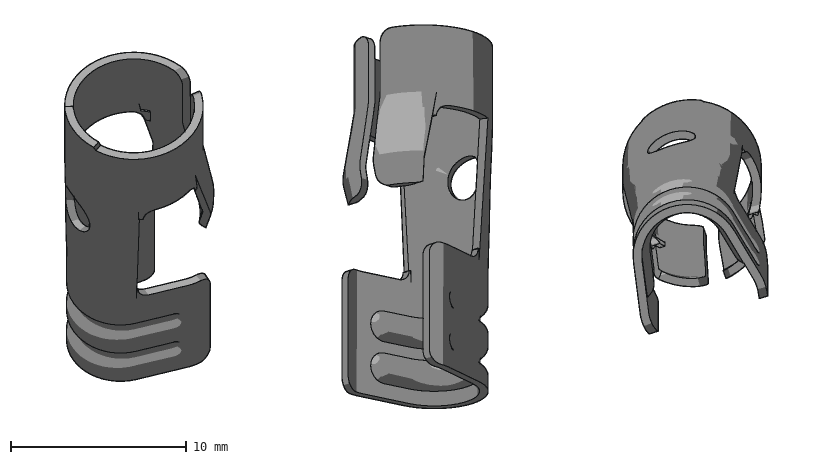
import cadquery as cq
import math

TAB_TOP = 20.75
RING_TOP = 20.56
RING_BOTTOM = 15.8
CRADLE_TOP = 7.37

RING_RADIUS = 3.96
SHEET = 0.5
FRONT_Y = -RING_RADIUS
FAR = 12.45
OVERLAP = 0.12

TAB_BASE_ANGLE = 28.0
TAB_TOP_ANGLE = 25.8

SLIT_HALF_WIDTH = 0.45
SLIT_HALF_WIDTH_LOW = 0.55
CORNER_RADIUS = 0.79

FLANK_LEAN = 11.5
CRADLE_RADIUS = 3.1
CRADLE_CENTER_Y = FRONT_Y + CRADLE_RADIUS
LIP_MIDDLE_Y = 2.05
LIP_RADIUS = 2.74
CRADLE_TIP_Y = 3.03

NECK_TOP_ANGLE = 24.0
WINDOW_RADIUS = 0.66
HOLE_Z = 13.49
HOLE_FOCUS_Y = -0.3
HOLE_HALF_WIDTH = 1.58
HOLE_HALF_HEIGHT = 1.29

FINGER_BEND_Z = 16.52
FINGER_ELBOW_Z = 12.47
FINGER_ELBOW_RADIUS = 4.63
FINGER_BEND_RADIUS = 1.0
FINGER_TIP_Z = 10.95
FINGER_TIP_RADIUS = 4.27
FINGER_TOP_ANGLE = 33.7
FINGER_ELBOW_ANGLE = 44.0
FINGER_TIP_ANGLE = 45.0
FINGER_CORNER_RADIUS = 0.66

BEAD_HEIGHTS = (1.8, 4.34)
BEAD_END_Y = 0.73
RIDGE_END_Y = 0.19
BEAD_FLAT = 0.17
BEAD_INNER_RADIUS = 0.27
BEAD_LIP_RADIUS = 0.5
BEAD_SLOPE = 47.0
BEAD_RAMP = 0.197

SIN_LEAN = math.sin(math.radians(FLANK_LEAN))
COS_LEAN = math.cos(math.radians(FLANK_LEAN))
LIP_CENTER_X = (CRADLE_RADIUS - LIP_RADIUS + (LIP_MIDDLE_Y - CRADLE_CENTER_Y) * SIN_LEAN) / COS_LEAN
INWARD = (-COS_LEAN, SIN_LEAN, 0)
ALONG_FLANK = (SIN_LEAN, COS_LEAN, 0)


def polar(radius, degrees, center_y=0.0):
    """Point at an angle from +X about a centre on the Y axis."""
    a = math.radians(degrees)
    return (radius * math.cos(a), center_y + radius * math.sin(a))


def half_tube(bottom, top, radius):
    """Tube of the sheet thickness, kept on the +X side."""
    tube = cq.Workplane("XY").workplane(offset=bottom).circle(radius).circle(radius - SHEET)
    half_space = cq.Workplane("XY").box(FAR, 2 * FAR, 4 * FAR, centered=(False, True, True))
    return tube.extrude(top - bottom).intersect(half_space)


def wedge(start, levels):
    """Solid between a fixed direction and edge directions given as (z, angle) levels."""
    sections = None
    previous_z = 0.0
    for z, angle in levels:
        base = cq.Workplane("XY") if sections is None else sections
        sections = base.workplane(offset=z - previous_z)
        sections = sections.polyline([(0, 0), polar(FAR, start), polar(FAR, angle)]).close()
        previous_z = z
    return sections.loft(ruled=True)


def corner_fillet(y, z, y_way, z_way, radius, overlap_y=OVERLAP):
    """Material filling an inside corner at (y, z), bounded by a concave quarter arc."""
    mid = radius * (1 - math.sqrt(0.5))
    return (
        cq.Workplane("YZ")
        .moveTo(y - overlap_y * y_way, z - OVERLAP * z_way)
        .lineTo(y + radius * y_way, z - OVERLAP * z_way)
        .lineTo(y + radius * y_way, z)
        .threePointArc((y + mid * y_way, z + mid * z_way), (y, z + radius * z_way))
        .lineTo(y - overlap_y * y_way, z + radius * z_way)
        .close()
        .extrude(FAR)
    )


def ring_half():
    ring = half_tube(RING_BOTTOM, RING_TOP, RING_RADIUS)
    tab = half_tube(RING_TOP, TAB_TOP, RING_RADIUS).intersect(
        wedge(-90, [(RING_TOP, TAB_BASE_ANGLE - 90), (TAB_TOP, TAB_TOP_ANGLE - 90)])
    )
    return ring.union(tab)


def finger_zone():
    """Space behind the edge of the +X finger, below the ring bend."""
    return wedge(90, [
        (FINGER_BEND_Z, FINGER_TOP_ANGLE),
        (FINGER_ELBOW_Z, FINGER_ELBOW_ANGLE),
        (FINGER_TIP_Z, FINGER_TIP_ANGLE),
    ])


def round_elbow(finger, circle_radius, bend_radius):
    """Round the bend that lies on a circle of the given radius."""
    bends = finger.edges("%CIRCLE").filter(lambda edge: abs(edge.radius() - circle_radius) < 0.002)
    return bends.fillet(bend_radius)


def finger_half():
    inner_elbow = FINGER_ELBOW_RADIUS - SHEET
    finger = (
        cq.Workplane("XZ")
        .moveTo(RING_RADIUS, FINGER_BEND_Z)
        .lineTo(FINGER_ELBOW_RADIUS, FINGER_ELBOW_Z)
        .lineTo(FINGER_TIP_RADIUS, FINGER_TIP_Z)
        .lineTo(FINGER_TIP_RADIUS - SHEET, FINGER_TIP_Z)
        .lineTo(inner_elbow, FINGER_ELBOW_Z)
        .lineTo(RING_RADIUS - SHEET, FINGER_BEND_Z)
        .close()
        .revolve(360, (0, 0), (0, 1))
    )
    finger = round_elbow(finger, FINGER_ELBOW_RADIUS, FINGER_BEND_RADIUS + SHEET)
    finger = round_elbow(finger, inner_elbow, FINGER_BEND_RADIUS)
    edge_y = polar(RING_RADIUS, FINGER_TOP_ANGLE)[1]
    root = corner_fillet(edge_y, RING_BOTTOM, -1, -1, WINDOW_RADIUS, overlap_y=2 * OVERLAP)
    blade = finger.intersect(finger_zone())
    tip_y = polar(FINGER_TIP_RADIUS - SHEET, FINGER_TIP_ANGLE)[1]
    tip_round = corner_fillet(tip_y, FINGER_TIP_Z, 1, 1, FINGER_CORNER_RADIUS)
    wall = half_tube(RING_BOTTOM - WINDOW_RADIUS, RING_TOP, RING_RADIUS)
    return blade.cut(tip_round).union(wall.intersect(root))


def slit():
    """Back slit with rounded mouths at the ring top and at the finger tips."""
    mid = CORNER_RADIUS * (1 - math.sqrt(0.5))
    return (
        cq.Workplane("XZ")
        .moveTo(-OVERLAP, RING_TOP)
        .lineTo(SLIT_HALF_WIDTH + CORNER_RADIUS, RING_TOP)
        .threePointArc((SLIT_HALF_WIDTH + mid, RING_TOP - mid),
                       (SLIT_HALF_WIDTH, RING_TOP - CORNER_RADIUS))
        .lineTo(SLIT_HALF_WIDTH, RING_BOTTOM)
        .lineTo(SLIT_HALF_WIDTH_LOW, FINGER_TIP_Z + CORNER_RADIUS)
        .threePointArc((SLIT_HALF_WIDTH_LOW + mid, FINGER_TIP_Z + mid),
                       (SLIT_HALF_WIDTH_LOW + CORNER_RADIUS, FINGER_TIP_Z))
        .lineTo(-OVERLAP, FINGER_TIP_Z)
        .close()
        .extrude(-FAR)
    )


def neck_sector(plane, radius, center_y, end_angle):
    """Half section of the neck, from the front round to the end angle."""
    inner = radius - SHEET
    middle = (end_angle - 90) / 2
    return (
        plane.moveTo(*polar(radius, -90, center_y))
        .threePointArc(polar(radius, middle, center_y), polar(radius, end_angle, center_y))
        .lineTo(*polar(inner, end_angle, center_y))
        .threePointArc(polar(inner, middle, center_y), polar(inner, -90, center_y))
        .close()
    )


def neck_hole():
    """Oval hole whose width shrinks inwards, so that its sides cut the sheet squarely."""
    depth = 3 * SHEET
    focus_distance = HOLE_FOCUS_Y - FRONT_Y
    inner_half_width = HOLE_HALF_WIDTH * (focus_distance - depth) / focus_distance
    return (
        cq.Workplane("XZ", origin=(0, FRONT_Y, HOLE_Z))
        .ellipse(HOLE_HALF_WIDTH, HOLE_HALF_HEIGHT)
        .workplane(offset=-depth)
        .ellipse(inner_half_width, HOLE_HALF_HEIGHT)
        .loft(ruled=True)
    )


def neck_half():
    plane = cq.Workplane("XY").workplane(offset=CRADLE_TOP)
    low = neck_sector(plane, CRADLE_RADIUS, CRADLE_CENTER_Y, -FLANK_LEAN)
    high_plane = low.workplane(offset=RING_BOTTOM - CRADLE_TOP)
    neck = neck_sector(high_plane, RING_RADIUS, 0.0, -NECK_TOP_ANGLE).loft(ruled=True)
    return neck.cut(neck_hole())


def cradle_outline(inset):
    """Key points of the +X half outline, moved inwards by the inset."""
    round_radius = CRADLE_RADIUS - inset
    lip_radius = LIP_RADIUS - inset
    bottom = (0, CRADLE_CENTER_Y - round_radius)
    round_mid = polar(round_radius, (-90 - FLANK_LEAN) / 2, CRADLE_CENTER_Y)
    flank = polar(round_radius, -FLANK_LEAN, CRADLE_CENTER_Y)
    dx = lip_radius * COS_LEAN
    dy = lip_radius * SIN_LEAN
    lip_start = (LIP_CENTER_X + dx, LIP_MIDDLE_Y - dy)
    lip_mid = (LIP_CENTER_X + lip_radius, LIP_MIDDLE_Y)
    lip_end = (LIP_CENTER_X + dx, LIP_MIDDLE_Y + dy)
    run = CRADLE_TIP_Y - lip_end[1]
    tip = (lip_end[0] - run * math.tan(math.radians(FLANK_LEAN)), CRADLE_TIP_Y)
    return bottom, round_mid, flank, lip_start, lip_mid, lip_end, tip


def cradle_wall(height):
    bottom, round_mid, flank, lip_start, lip_mid, lip_end, tip = cradle_outline(0)
    i_bottom, i_round_mid, i_flank, i_lip_start, i_lip_mid, i_lip_end, i_tip = cradle_outline(SHEET)
    return (
        cq.Workplane("XY")
        .moveTo(*bottom)
        .threePointArc(round_mid, flank)
        .lineTo(*lip_start)
        .threePointArc(lip_mid, lip_end)
        .lineTo(*tip)
        .lineTo(*i_tip)
        .lineTo(*i_lip_end)
        .threePointArc(i_lip_mid, i_lip_start)
        .lineTo(*i_flank)
        .threePointArc(i_round_mid, i_bottom)
        .close()
        .extrude(height)
    )


def bead_section(plane, inset, back):
    """Upper half section of a bead as (depth, height), closed at the depth 'back'."""
    slope = math.radians(BEAD_SLOPE)
    crest_radius = BEAD_INNER_RADIUS + inset
    lip_radius = BEAD_LIP_RADIUS - inset
    lip_z = BEAD_FLAT + (BEAD_INNER_RADIUS + BEAD_LIP_RADIUS) * math.sin(slope) + BEAD_RAMP
    depth = ((BEAD_INNER_RADIUS + BEAD_LIP_RADIUS) * (1 - math.cos(slope))
             + BEAD_RAMP * math.tan(slope) + inset)

    def crest_point(angle):
        return (depth - crest_radius * (1 - math.cos(angle)), BEAD_FLAT + crest_radius * math.sin(angle))

    def lip_point(angle):
        return (inset + lip_radius * (1 - math.cos(angle)), lip_z - lip_radius * math.sin(angle))

    section = (
        plane.moveTo(back, 0)
        .lineTo(depth, 0)
        .lineTo(depth, BEAD_FLAT)
        .threePointArc(crest_point(slope / 2), crest_point(slope))
        .lineTo(*lip_point(slope))
    )
    if lip_radius > 0:
        section = section.threePointArc(lip_point(slope / 2), lip_point(0))
    return section.lineTo(back, lip_z).close()


def bead(z, end_y, inset, back):
    """Solid running round the +X half of the cradle and ending in a dome on the flank."""
    flank = cradle_outline(0)[2]
    length = (end_y - flank[1]) / COS_LEAN
    end = (flank[0] + length * SIN_LEAN, end_y, 0)
    start_plane = cq.Plane(origin=(*flank, 0), xDir=INWARD, normal=ALONG_FLANK)
    end_plane = cq.Plane(origin=end, xDir=INWARD, normal=ALONG_FLANK)

    straight = bead_section(cq.Workplane(start_plane), inset, back).extrude(length)
    around = bead_section(cq.Workplane(start_plane), inset, back).revolve(
        90 - FLANK_LEAN, (CRADLE_RADIUS, 0.2), (CRADLE_RADIUS, 0)
    )
    run = straight.union(around)
    dome = bead_section(cq.Workplane(end_plane), inset, back).revolve(360, (0, 0), (1, 0))
    return run.union(run.mirror("XY")).union(dome).translate((0, 0, z))


def cradle_half():
    cradle = cradle_wall(CRADLE_TOP)
    for z, way in ((0, 1), (CRADLE_TOP, -1)):
        cradle = cradle.cut(corner_fillet(CRADLE_TIP_Y, z, -1, way, CORNER_RADIUS))
    for z in BEAD_HEIGHTS:
        cradle = cradle.union(bead(z, RIDGE_END_Y, SHEET, SHEET - OVERLAP))
    for z in BEAD_HEIGHTS:
        cradle = cradle.cut(bead(z, BEAD_END_Y, 0, -OVERLAP))
    return cradle


def neck_foot_half():
    """Fillet between the neck edge and the top of the cradle wall."""
    edge_y = cradle_outline(SHEET)[2][1]
    foot = corner_fillet(edge_y, CRADLE_TOP, 1, 1, WINDOW_RADIUS)
    return foot.intersect(cradle_wall(CRADLE_TOP + WINDOW_RADIUS))


def neck_shoulder():
    """Fillet between the neck edge and the ring, on the +X side only."""
    edge_y = polar(RING_RADIUS - SHEET, -NECK_TOP_ANGLE)[1]
    shoulder = corner_fillet(edge_y, RING_BOTTOM, 1, -1, WINDOW_RADIUS, overlap_y=2 * OVERLAP)
    return shoulder.intersect(half_tube(RING_BOTTOM - WINDOW_RADIUS, RING_TOP, RING_RADIUS))


ring_with_fingers = ring_half().cut(finger_zone()).union(finger_half()).cut(slit())
half = ring_with_fingers.union(neck_half()).union(cradle_half()).union(neck_foot_half())
result = half.union(half.mirror("YZ")).union(neck_shoulder())